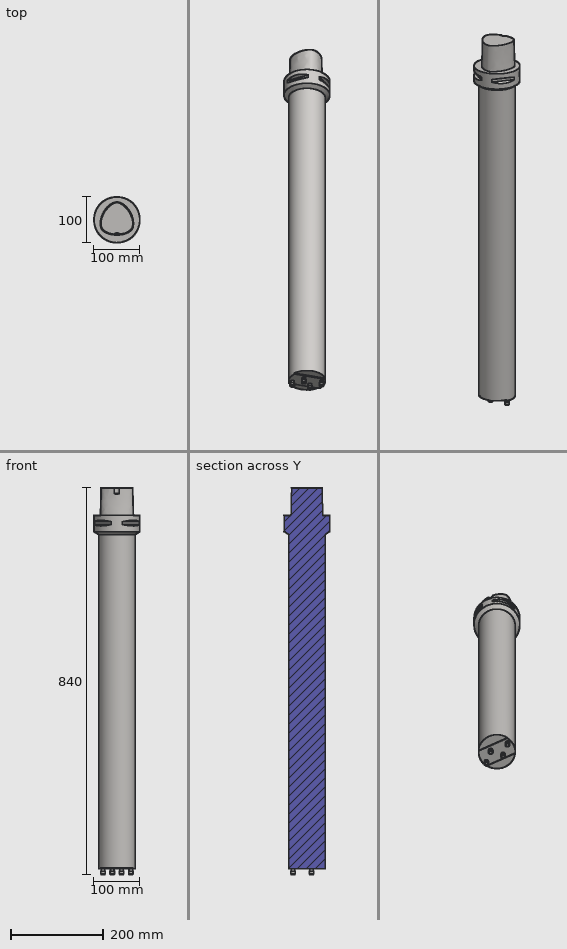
import cadquery as cq
import math

total_length = 840.0
shank_length = 60.0
flange_length = 42.0

shank_base_radius = 36.0
lobe_height = 2.8
shank_taper = 1 / 20
lobe_count = 3
outline_point_count = 36

notch_diameter = 13.0
notch_depth = 3.0
notch_length = 12.0
notch_cone_height = 3.0

flange_diameter = 100.0
cone_height = 7.0
bar_diameter = 80.0

slot_count = 4
slot_first_angle = 45.0
slot_floor_height = 6.0
slot_floor_distance = 43.0
slot_wall_angle = 25.0
slot_center_drop = 17.0

strip_width = 39.5
strip_height = 2.5

pin_count = 4
pin_pitch = 20.0
pin_row_offset = 10.0
pin_neck_diameter = 8.0
pin_head_diameter = 10.0
pin_head_height = 7.5
pin_chamfer = 2.0
pin_length = 13.0

shank_base_z = total_length - shank_length
flange_base_z = shank_base_z - flange_length
bar_base_z = pin_length + strip_height


def shank_outline(mean_radius):
    """Points of the curve whose support distance is mean_radius + lobe_height * cos(3 * angle)."""
    points = []
    for index in range(outline_point_count):
        angle = 2 * math.pi * index / outline_point_count
        support = mean_radius + lobe_height * math.cos(lobe_count * angle)
        slope = -lobe_count * lobe_height * math.sin(lobe_count * angle)
        along = support * math.cos(angle) - slope * math.sin(angle)
        across = support * math.sin(angle) + slope * math.cos(angle)
        points.append((-across, along))
    return points


def make_shank():
    top_radius = shank_base_radius - shank_length * shank_taper / 2
    shank = (
        cq.Workplane("XY", origin=(0, 0, shank_base_z))
        .spline(shank_outline(shank_base_radius), periodic=True)
        .close()
        .workplane(offset=shank_length)
        .spline(shank_outline(top_radius), periodic=True)
        .close()
        .loft(ruled=True)
    )
    notch_center_y = -(top_radius - lobe_height) + notch_depth - notch_diameter / 2
    notch_radius = notch_diameter / 2
    notch_profile = [
        (0, total_length),
        (notch_radius, total_length),
        (notch_radius, total_length - notch_length),
        (0, total_length - notch_length - notch_cone_height),
    ]
    notch = (
        cq.Workplane("XZ", origin=(0, notch_center_y, 0))
        .polyline(notch_profile)
        .close()
        .revolve(360, (0, 0, 0), (0, 1, 0))
    )
    return shank.cut(notch)


def make_flange_and_bar():
    flange_radius = flange_diameter / 2
    bar_radius = bar_diameter / 2
    profile = [
        (0, bar_base_z),
        (bar_radius, bar_base_z),
        (bar_radius, flange_base_z),
        (flange_radius, flange_base_z + cone_height),
        (flange_radius, shank_base_z),
        (0, shank_base_z),
    ]
    return cq.Workplane("XZ").polyline(profile).close().revolve(360, (0, 0, 0), (0, 1, 0))


def make_slot_cutter():
    """One slot crossing the +X side of the flange, open through its outer surface."""
    cutter_depth = flange_diameter / 2
    half_floor = slot_floor_height / 2
    half_mouth = half_floor + cutter_depth * math.tan(math.radians(slot_wall_angle))
    section = [
        (slot_floor_distance, -half_floor),
        (slot_floor_distance + cutter_depth, -half_mouth),
        (slot_floor_distance + cutter_depth, half_mouth),
        (slot_floor_distance, half_floor),
    ]
    return (
        cq.Workplane("XZ", origin=(0, 0, shank_base_z - slot_center_drop))
        .polyline(section)
        .close()
        .extrude(flange_diameter / 2, both=True)
    )


def make_strip():
    bar_disc = cq.Workplane("XY", origin=(0, 0, pin_length)).circle(bar_diameter / 2).extrude(strip_height)
    band = cq.Workplane("XY", origin=(0, 0, pin_length)).rect(bar_diameter, strip_width).extrude(strip_height)
    return bar_disc.intersect(band)


def make_pin(center_x, center_y):
    neck_radius = pin_neck_diameter / 2
    head_radius = pin_head_diameter / 2
    profile = [
        (0, 0),
        (head_radius - pin_chamfer, 0),
        (head_radius, pin_chamfer),
        (head_radius, pin_head_height),
        (neck_radius, pin_head_height),
        (neck_radius, pin_length),
        (0, pin_length),
    ]
    pin = cq.Workplane("XZ").polyline(profile).close().revolve(360, (0, 0, 0), (0, 1, 0))
    return pin.translate((center_x, center_y, 0))


result = make_flange_and_bar().union(make_shank()).union(make_strip())

slot_cutter = make_slot_cutter()
for index in range(slot_count):
    slot_angle = slot_first_angle + index * 360 / slot_count
    result = result.cut(slot_cutter.rotate((0, 0, 0), (0, 0, 1), slot_angle))

for index in range(pin_count):
    pin_x = (index - (pin_count - 1) / 2) * pin_pitch
    pin_y = pin_row_offset * (-1) ** index
    result = result.union(make_pin(pin_x, pin_y))